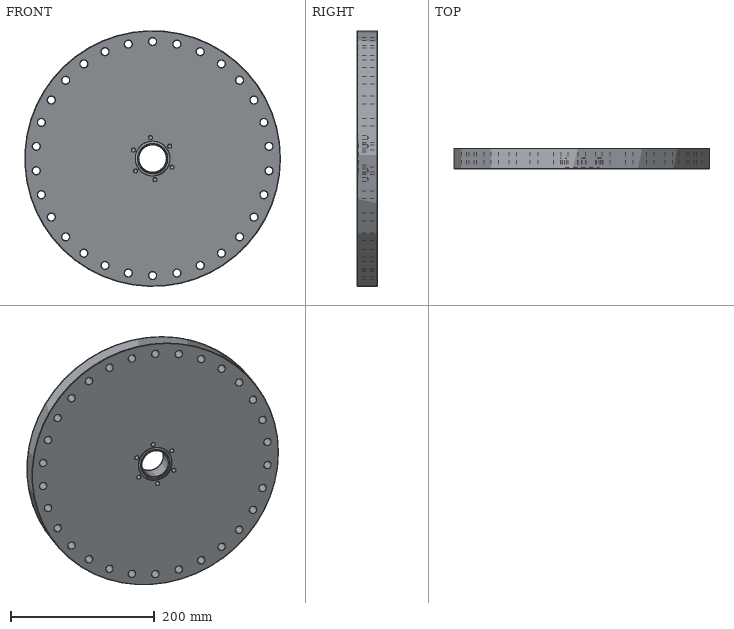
import cadquery as cq
import math

disc_diameter = 355.5
disc_thickness = 28.5
rim_chamfer = 0.55

bolt_count = 30
bolt_circle_diameter = 325.5
bolt_hole_diameter = 10.5
bolt_start_angle = 90.0

bore_diameter = 38.0
knife_diameter = 42.0
recess_diameter = 48.5
knife_tip_depth = 0.7
recess_depth = 1.8
bore_mouth_depth = 1.0

screw_count = 6
screw_circle_diameter = 58.5
screw_hole_diameter = 5.7
screw_hole_depth = 14.2
screw_start_angle = 36.0
drill_point_angle = 118.0

disc_radius = disc_diameter / 2
front_y = -disc_thickness / 2
back_y = disc_thickness / 2


def revolve_about_y(points):
    """Revolve a closed (radius, y) outline about the Y axis."""
    return cq.Workplane("XY").polyline(points).close().revolve(360, (0, 0, 0), (0, 1, 0))


def circle_positions(count, circle_diameter, start_angle):
    """Return evenly spaced (x, z) positions on a circle about the Y axis."""
    radius = circle_diameter / 2
    angles = [math.radians(start_angle + i * 360 / count) for i in range(count)]
    return [(radius * math.cos(a), radius * math.sin(a)) for a in angles]


def flange_body():
    """Bored disc with a recess floor that rises inward to a knife edge, then drops to the bore mouth."""
    bore_radius = bore_diameter / 2
    knife_radius = knife_diameter / 2
    recess_radius = recess_diameter / 2
    recess_floor_y = front_y + recess_depth
    return revolve_about_y([
        (bore_radius, back_y),
        (bore_radius, front_y + bore_mouth_depth),
        (knife_radius, front_y + bore_mouth_depth),
        (knife_radius, front_y + knife_tip_depth),
        (recess_radius, recess_floor_y),
        (recess_radius, front_y),
        (disc_radius - rim_chamfer, front_y),
        (disc_radius, front_y + rim_chamfer),
        (disc_radius, back_y - rim_chamfer),
        (disc_radius - rim_chamfer, back_y),
    ])


def bolt_hole():
    """Through-hole cutter on the Y axis."""
    radius = bolt_hole_diameter / 2
    return revolve_about_y([(0, front_y), (radius, front_y), (radius, back_y), (0, back_y)])


def screw_hole():
    """Blind-hole cutter on the Y axis with a conical drill point."""
    radius = screw_hole_diameter / 2
    point_length = radius / math.tan(math.radians(drill_point_angle / 2))
    shoulder_y = front_y + screw_hole_depth
    return revolve_about_y([
        (0, front_y),
        (radius, front_y),
        (radius, shoulder_y),
        (0, shoulder_y + point_length),
    ])


def cut_pattern(body, cutter, positions):
    """Cut a copy of the cutter at each (x, z) position."""
    for x, z in positions:
        body = body.cut(cutter.translate((x, 0, z)))
    return body


result = flange_body()
result = cut_pattern(
    result, bolt_hole(), circle_positions(bolt_count, bolt_circle_diameter, bolt_start_angle)
)
result = cut_pattern(
    result, screw_hole(), circle_positions(screw_count, screw_circle_diameter, screw_start_angle)
)